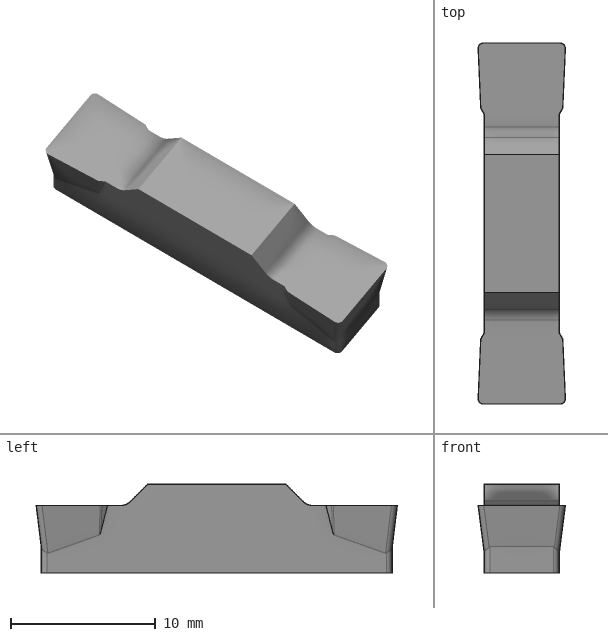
import cadquery as cq
import math

length = 24.98
height = 6.15
edge_width = 6.05
body_width = 5.2
body_length = 24.28
head_top = 4.67
plateau_length = 9.55
ramp_root_radius = 1.0
corner_radius = 0.4

clearance_angle = 7.0
head_depth = 3.5
side_taper = 2.5
flank_length = 4.5
neck_angle = 29.0
neck_length = 1.25
neck_radius = 0.27

pick_margin = 0.25


def make_body():
    """Bar with rounded upright corners and a raised middle with 45 degree ramps."""
    plateau_end = plateau_length / 2
    ramp_foot = plateau_end + height - head_top
    body_end = body_length / 2
    profile = [
        (-body_end, 0),
        (body_end, 0),
        (body_end, head_top),
        (ramp_foot, head_top),
        (plateau_end, height),
        (-plateau_end, height),
        (-ramp_foot, head_top),
        (-body_end, head_top),
    ]
    body = cq.Workplane("YZ").polyline(profile).close().extrude(body_width / 2, both=True)
    ramp_roots = cq.selectors.BoxSelector(
        (-body_width, -ramp_foot - pick_margin, head_top - pick_margin),
        (body_width, ramp_foot + pick_margin, head_top + pick_margin),
    )
    body = body.edges("|X").edges(ramp_roots).fillet(ramp_root_radius)
    return body.edges("|Z").edges("<Y or >Y").fillet(corner_radius)


def make_head():
    """Cutting head at the -Y end, with clearance on all flanks."""
    edge_y = -length / 2
    edge_half = edge_width / 2 + corner_radius * math.tan(math.radians(side_taper))
    neck_y = edge_y + flank_length
    neck_half = edge_half - flank_length * math.tan(math.radians(side_taper))
    inner_y = neck_y + neck_length
    inner_half = neck_half - neck_length * math.tan(math.radians(neck_angle))
    outline = [
        (-edge_half, edge_y),
        (edge_half, edge_y),
        (neck_half, neck_y),
        (inner_half, inner_y),
        (-inner_half, inner_y),
        (-neck_half, neck_y),
    ]
    head = (
        cq.Workplane("XY", origin=(0, 0, head_top))
        .polyline(outline).close()
        .extrude(-head_depth, taper=clearance_angle)
    )
    flank_edges = head.edges("not #Z")
    corner_edges = flank_edges.edges("<Y").vals()
    head = head.newObject(corner_edges).fillet(corner_radius)
    neck_zone = cq.selectors.BoxSelector(
        (-edge_width, neck_y - pick_margin, 0),
        (edge_width, neck_y + pick_margin, head_top),
    )
    return head.edges("not #Z").edges(neck_zone).fillet(neck_radius)


head = make_head()
result = make_body().union(head).union(head.mirror("XZ"))